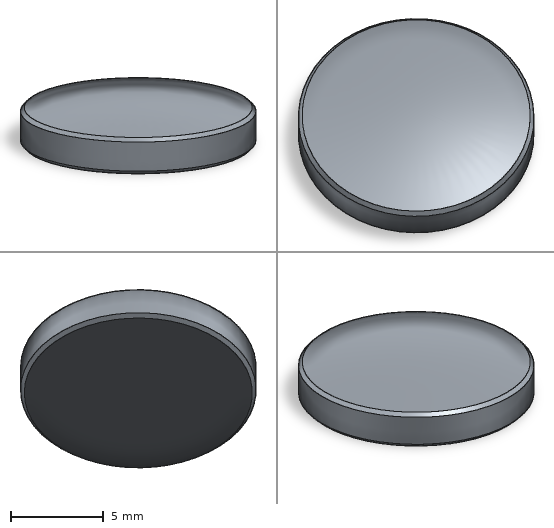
import cadquery as cq

diameter = 12.7
total_height = 2.73
dome_height = 0.7
bevel = 0.2

radius = diameter / 2
face_radius = radius - bevel
dome_rim_z = total_height - dome_height

sphere_radius = (face_radius**2 + dome_height**2) / (2 * dome_height)
sphere_center_z = total_height - sphere_radius
arc_mid_x = face_radius / 2
arc_mid_z = sphere_center_z + (sphere_radius**2 - arc_mid_x**2) ** 0.5

half_section = (
    cq.Workplane("XZ")
    .moveTo(0, 0)
    .lineTo(face_radius, 0)
    .lineTo(radius, bevel)
    .lineTo(radius, dome_rim_z - bevel)
    .lineTo(face_radius, dome_rim_z)
    .threePointArc((arc_mid_x, arc_mid_z), (0, total_height))
    .close()
)

result = half_section.revolve(360, (0, 0, 0), (0, 1, 0))